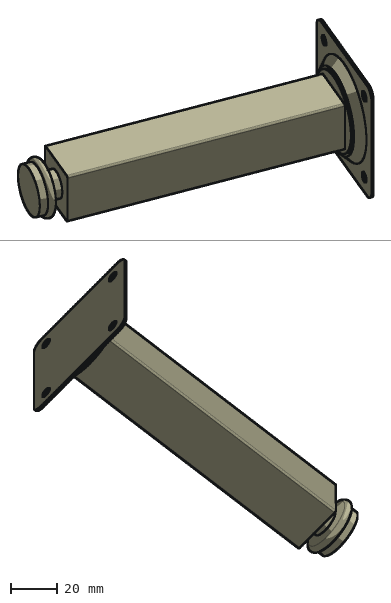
import cadquery as cq

total_length = 150.0
plate_side = 60.0
back_y = total_length / 2
foot_y = -total_length / 2

plate_thickness = 1.0
plate_corner_radius = 5.0
hole_diameter = 4.8
hole_spacing = 44.0

collar_base_radius = 24.6
collar_top_radius = 20.4
collar_cone_depth = 5.1
collar_rim_radius = 19.0
collar_depth = 6.0

leg_side = 24.8
leg_edge_radius = 0.9

pad_height = 3.9
bead_radius = 13.8
bead_round = 1.8
pad_radius = bead_radius - bead_round
neck_radius = 6.8
bead_top_height = 8.2
leg_end_height = 12.9


def make_plate():
    plate = (
        cq.Workplane("XY")
        .box(plate_side, plate_thickness, plate_side)
        .translate((0, back_y - plate_thickness / 2, 0))
        .edges("|Y")
        .fillet(plate_corner_radius)
    )
    return (
        plate.faces("<Y")
        .workplane(origin=(0, 0, 0))
        .rect(hole_spacing, hole_spacing, forConstruction=True)
        .vertices()
        .hole(hole_diameter)
    )


def revolve_about_leg_axis(profile):
    return profile.close().revolve(360, (0, 0, 0), (0, 1, 0))


def make_collar():
    cone_front_y = back_y - collar_cone_depth
    rim_y = back_y - collar_depth
    base_y = back_y - plate_thickness
    return revolve_about_leg_axis(
        cq.Workplane("XY")
        .moveTo(0, base_y)
        .lineTo(collar_base_radius, base_y)
        .lineTo(collar_top_radius, cone_front_y)
        .lineTo(collar_rim_radius, cone_front_y)
        .lineTo(collar_rim_radius, rim_y)
        .lineTo(0, rim_y)
    )


def make_leg():
    leg_start_y = foot_y + leg_end_height
    leg_length = back_y - collar_depth - leg_start_y
    return (
        cq.Workplane("XY")
        .box(leg_side, leg_length, leg_side)
        .translate((0, leg_start_y + leg_length / 2, 0))
        .edges("|Y")
        .fillet(leg_edge_radius)
    )


def make_foot():
    pad_top_y = foot_y + pad_height
    bead_center_y = pad_top_y + bead_round
    bead_shoulder_y = bead_center_y + bead_round
    bead_top_y = foot_y + bead_top_height
    leg_start_y = foot_y + leg_end_height
    return revolve_about_leg_axis(
        cq.Workplane("XY")
        .moveTo(0, foot_y)
        .lineTo(pad_radius, foot_y)
        .lineTo(pad_radius, pad_top_y)
        .threePointArc((bead_radius, bead_center_y), (pad_radius, bead_shoulder_y))
        .lineTo(neck_radius, bead_top_y)
        .lineTo(neck_radius, leg_start_y)
        .lineTo(0, leg_start_y)
    )


result = make_plate().union(make_collar()).union(make_leg()).union(make_foot())